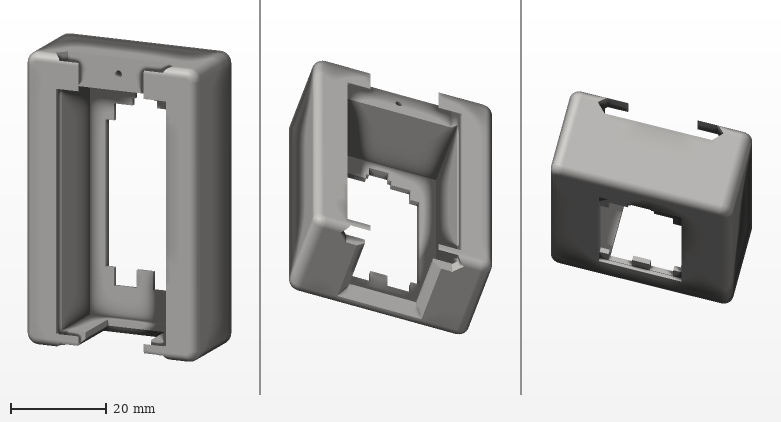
import cadquery as cq

width, depth, height = 39.6, 19.05, 63.75
corner_radius = 2.5
edge_radius = 1.8
front = -depth / 2
back = depth / 2
top = height / 2
bottom = -height / 2

cavity_half_width = 12.6
cavity_top = top - 7.25
cavity_floor = bottom + 3.1
back_wall = 1.7

skin = 0.1
slot_depth = 3.9
floor_lip = 0.1
slot_half_width = 11.65
slot_tip_half_width = 13.65
slot_front_half_width = 11.9
mouth_half_width = 7.5

window_top = top - 9.7
notch_step = top - 12.5
neck_step = top - 14.1
shoulder_step = top - 17.8
foot_step = bottom + 13.9
window_bottom = bottom + 9.95
notch_half_width = 2.15
neck_half_width = 2.8
shoulder_half_width = 7.0
window_half_width = 9.0
tongue_half_width = 1.9

recess_depth = 0.7

floor_opening_back = front + 15.25
floor_flare = 1.8

screw_diameter = 1.5
screw_height = top - 3.65
screw_depth = 6.4


def block(half_width, y_start, y_end, z_start, z_end):
    """Box centred on X between the given Y and Z limits."""
    return (
        cq.Workplane("XY")
        .box(2 * half_width, y_end - y_start, z_end - z_start, centered=(True, False, False))
        .translate((0, y_start, z_start))
    )


def make_shell():
    shell = cq.Workplane("XY").box(width, depth, height)
    shell = shell.edges("|Y").fillet(corner_radius)
    return shell.faces("<Y or >Y").edges().fillet(edge_radius)


def make_lid_slot():
    slot_front = front + skin
    slot_back = front + slot_depth
    slot_middle = slot_front + slot_tip_half_width - slot_front_half_width
    outline = [
        (-slot_front_half_width, slot_front),
        (slot_front_half_width, slot_front),
        (slot_tip_half_width, slot_middle),
        (slot_half_width, slot_back),
        (-slot_half_width, slot_back),
        (-slot_tip_half_width, slot_middle),
    ]
    slot = cq.Workplane("XY", origin=(0, 0, bottom)).polyline(outline).close().extrude(height)
    return slot.union(block(mouth_half_width, front, slot_back, bottom, top))


def make_window():
    steps = [
        (notch_half_width, window_top),
        (neck_half_width, notch_step),
        (shoulder_half_width, neck_step),
        (window_half_width, shoulder_step),
    ]
    wall_front = back - back_wall
    window = block(shoulder_half_width, wall_front, back, window_bottom, foot_step)
    window = window.cut(block(tongue_half_width, wall_front, back, window_bottom, foot_step))
    for half_width, step_top in steps:
        window = window.union(block(half_width, wall_front, back, foot_step, step_top))
    return window


def make_window_recess():
    return block(window_half_width, back - recess_depth, back, -window_top, window_top)


def make_floor_lip():
    slot_back = front + slot_depth
    return block(slot_half_width, slot_back - floor_lip, slot_back, bottom, cavity_floor)


def make_floor_opening():
    opening = block(mouth_half_width, front, floor_opening_back, bottom, cavity_floor)
    flare_length = floor_opening_back - front
    flare = (
        cq.Workplane("XY", origin=(0, (front + floor_opening_back) / 2, bottom + floor_flare))
        .rect(2 * mouth_half_width, flare_length)
        .workplane(offset=-floor_flare)
        .rect(2 * (mouth_half_width + floor_flare), flare_length + 2 * floor_flare)
        .loft(ruled=True)
    )
    flare = flare.intersect(block(width / 2, front + slot_depth - floor_lip, back, bottom, top))
    return opening.union(flare)


def make_screw_hole():
    return (
        cq.Workplane("XZ", origin=(0, front + slot_depth, screw_height))
        .circle(screw_diameter / 2)
        .extrude(-screw_depth)
    )


cavity = block(cavity_half_width, front, back - back_wall, cavity_floor, cavity_top)

result = (
    make_shell()
    .cut(cavity)
    .cut(make_lid_slot())
    .union(make_floor_lip())
    .cut(make_window())
    .cut(make_window_recess())
    .cut(make_floor_opening())
    .cut(make_screw_hole())
)